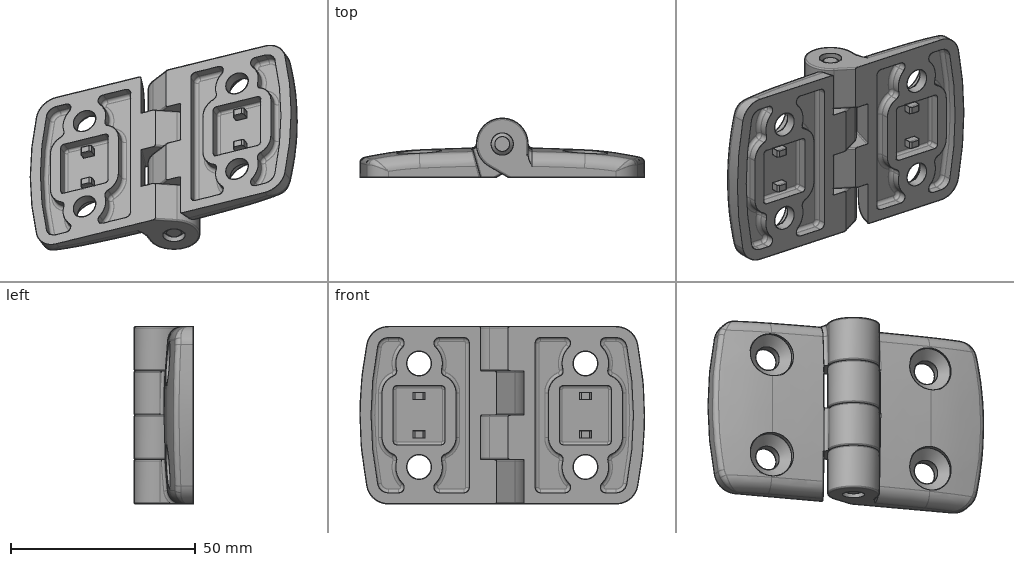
import cadquery as cq
import math


half_length = 38.5
half_height = 24.0

end_radius = 100.0
corner_radius = 6.0
plate_inner_x = 4.0

crown = 8.0
inner_bow_radius = 460.0
outer_bow_radius = 85.0
bow_change_x = 22.5
cross_bow_radius = 210.0
side_round = 4.0
end_round = 1.6
bow_overrun = 3.0

axis_y = 9.0
barrel_radius = 7.0
ramp_angle = math.radians(30)
knuckle_height = half_height / 2
edge_round = 0.4
root_fillet = 1.0
pin_radius = 3.0
pin_half_length = 23.2
pin_chamfer = 1.0

slot_foot_x = 5.85
slot_top_x = 8.1
slot_floor_round = 0.3

screw_x = 22.5
screw_z = 14.0
screw_radius = 3.3
head_radius = 6.0
head_seat_y = 3.0
head_rim_y = head_seat_y + head_radius - screw_radius

rib = 3.0
recess_depth = 3.2
recess_corner = 1.5
recess_floor_round = 1.0
recess_inner_x = 8.9
boss_corner = 5.0
boss_radius = screw_radius + rib
pocket_width = 14.0
pocket_height = 16.0
pocket_corner = 1.0
pocket_floor_round = 0.7

stud_z = 5.2
stud_width = 3.2
stud_height = 2.0
stud_length = 2.5
stud_tip_width = 2.2
stud_tip_height = 1.8
stud_tip_length = 0.5


def facing_plane(y):
    """Sketch plane at depth y with local axes X and Z; negative extrusions run toward +Y."""
    return cq.Workplane("XZ", origin=(0, y, 0))


def level_plane(z):
    """Sketch plane at height z with local axes X and Y."""
    return cq.Workplane("XY", origin=(0, 0, z))


def cross_cylinder(x, z, radius, start_y, end_y):
    """Cylinder along Y."""
    return facing_plane(start_y).center(x, z).circle(radius).extrude(start_y - end_y)


def leaf_outline(inset, inner_x, depth, outer_corner):
    """Prism on the mounting face with the leaf outline, moved inward by inset."""
    half_z = half_height - inset
    arc_centre_x = end_radius - half_length
    corner_x = arc_centre_x - math.sqrt((end_radius - inset) ** 2 - half_z**2)
    return (
        facing_plane(0)
        .moveTo(-inner_x, -half_z)
        .lineTo(corner_x, -half_z)
        .threePointArc((inset - half_length, 0), (corner_x, half_z))
        .lineTo(-inner_x, half_z)
        .close()
        .extrude(-depth)
        .edges("|Y")
        .edges("<X")
        .fillet(outer_corner)
    )


def back_section(offset):
    """Open cross-section of the leaf back at X = 0, grown outward by offset."""
    dome_y = crown - cross_bow_radius
    round_centre_z = half_height - side_round
    round_centre_y = dome_y + math.sqrt((cross_bow_radius - side_round) ** 2 - round_centre_z**2)
    reach = (cross_bow_radius + offset) / (cross_bow_radius - side_round)
    tangent_z = round_centre_z * reach
    tangent_y = dome_y + (round_centre_y - dome_y) * reach
    side_z = half_height + offset
    round_radius = side_round + offset
    return (
        cq.Workplane("YZ")
        .moveTo(-crown, -side_z)
        .lineTo(round_centre_y, -side_z)
        .radiusArc((tangent_y, -tangent_z), -round_radius)
        .threePointArc((crown + offset, 0), (tangent_y, tangent_z))
        .radiusArc((round_centre_y, side_z), -round_radius)
        .lineTo(-crown, side_z)
    )


def bowed_block():
    """Block with the doubly bowed back and rounded long sides, reaching past the mounting face."""
    swing = math.asin(bow_change_x / inner_bow_radius)
    change_y = crown - inner_bow_radius * (1 - math.cos(swing))
    outer_centre_x = outer_bow_radius * math.sin(swing) - bow_change_x
    outer_centre_y = change_y - outer_bow_radius * math.cos(swing)
    end_x = -half_length - bow_overrun
    end_y = outer_centre_y + math.sqrt(outer_bow_radius**2 - (end_x - outer_centre_x) ** 2)
    bow = (
        cq.Workplane("XY")
        .moveTo(0, crown)
        .radiusArc((-bow_change_x, change_y), -inner_bow_radius)
        .radiusArc((end_x, end_y), -outer_bow_radius)
    )
    return back_section(0).close().sweep(bow)


def plate():
    """Leaf plate with bowed back and rounded outer edge."""
    outline = leaf_outline(0, plate_inner_x, 2 * crown, corner_radius)
    return outline.intersect(bowed_block()).faces("<X").edges(">Y").fillet(end_round)


def slot(bottom_z):
    """Clearance for one knuckle of the other leaf, with a leaning end wall."""
    return (
        level_plane(bottom_z)
        .moveTo(-slot_foot_x, 0)
        .lineTo(-slot_top_x, crown)
        .lineTo(-slot_top_x, axis_y)
        .lineTo(0, axis_y)
        .lineTo(0, 0)
        .close()
        .extrude(knuckle_height)
    )


def slotted_plate():
    """Plate with both slots cut, their outer end edge and floor corners rounded."""
    body = plate()
    for z in (-knuckle_height, knuckle_height):
        body = body.cut(slot(z))
    end_edge = cq.selectors.BoxSelector(
        (-slot_top_x, 0.1, half_height - side_round / 2),
        (-slot_foot_x, crown, half_height + 1),
    )
    floor_corners = cq.selectors.BoxSelector(
        (-slot_top_x, 1, -knuckle_height - 1),
        (-slot_foot_x, crown - 1, knuckle_height + 1),
    )
    return body.edges(end_edge).fillet(edge_round).edges(floor_corners).fillet(slot_floor_round)


def knuckle(bottom_z):
    """Barrel section with its sloping ramp down to the mounting face and rounded end edges."""
    tangent_x = barrel_radius * math.sin(ramp_angle)
    tangent_y = axis_y - barrel_radius * math.cos(ramp_angle)
    ramp_foot_x = tangent_x - tangent_y / math.tan(ramp_angle)
    above_foot = cq.selectors.BoxSelector(
        (-2 * barrel_radius, tangent_y / 4, -2 * half_height),
        (2 * barrel_radius, axis_y + 2 * barrel_radius, 2 * half_height),
    )
    return (
        level_plane(bottom_z)
        .moveTo(-barrel_radius, 0)
        .lineTo(ramp_foot_x, 0)
        .lineTo(tangent_x, tangent_y)
        .threePointArc((0, axis_y + barrel_radius), (-barrel_radius, axis_y))
        .close()
        .extrude(knuckle_height)
        .faces("|Z")
        .edges(above_foot)
        .fillet(edge_round)
    )


def root_cove(bottom_z):
    """Hollow quarter-round that blends the leaf back into one of its own knuckles."""
    cove_x = -barrel_radius - root_fillet
    slab_length = root_fillet + edge_round
    slab = back_section(root_fillet).close().extrude(slab_length)
    hollow = (
        facing_plane(-crown)
        .center(0, -half_height - root_fillet)
        .circle(root_fillet)
        .sweep(back_section(root_fillet))
    )
    span = (
        level_plane(bottom_z)
        .center(slab_length / 2, axis_y / 2)
        .rect(2 * slab_length, axis_y)
        .extrude(knuckle_height)
    )
    return slab.cut(hollow).intersect(span).translate((cove_x, 0, 0))


def boss_neck(side):
    """Web from a screw boss to the rim; side is 1 at the top and -1 at the bottom.

    Its hollow flanks are the rounded ends of the recesses, tangent to boss and rim.
    """
    flank_z = half_height - rib - recess_corner
    flank_distance = boss_radius + recess_corner
    flank_x = math.sqrt(flank_distance**2 - (flank_z - screw_z) ** 2)
    start_z = screw_z + (flank_z - screw_z) * boss_radius / flank_distance
    neck = (
        facing_plane(0)
        .center(-screw_x, side * (start_z + half_height) / 2)
        .rect(2 * flank_x, half_height - start_z)
        .extrude(-recess_depth)
    )
    for x in (-screw_x - flank_x, -screw_x + flank_x):
        neck = neck.cut(cross_cylinder(x, side * flank_z, recess_corner, 0, recess_depth))
    return neck


def boss():
    """Material left standing round the square pocket and the two screw holes."""
    body = (
        facing_plane(0)
        .center(-screw_x, 0)
        .rect(pocket_width + 2 * rib, pocket_height + 2 * rib)
        .extrude(-recess_depth)
        .edges("|Y")
        .fillet(boss_corner)
    )
    for side in (-1, 1):
        body = body.union(cross_cylinder(-screw_x, side * screw_z, boss_radius, 0, recess_depth))
        waist_z = sorted((side * pocket_height / 2, side * screw_z))
        waist = cq.selectors.BoxSelector(
            (-half_length, 0, waist_z[0]), (0, recess_depth, waist_z[1])
        )
        body = body.edges("|Y").edges(waist).fillet(recess_corner)
    for side in (-1, 1):
        body = body.union(boss_neck(side))
    return body


def recesses():
    """The two weight-saving recesses either side of the boss, with rounded floors."""
    return (
        leaf_outline(rib, recess_inner_x, recess_depth, corner_radius - rib)
        .edges("|Y")
        .edges(">X")
        .fillet(recess_corner)
        .cut(boss())
        .faces(">Y")
        .edges()
        .fillet(recess_floor_round)
    )


def pocket():
    """Square pocket between the screw holes."""
    return (
        facing_plane(0)
        .center(-screw_x, 0)
        .rect(pocket_width, pocket_height)
        .extrude(-recess_depth)
        .edges("|Y")
        .fillet(pocket_corner)
        .faces(">Y")
        .edges()
        .fillet(pocket_floor_round)
    )


def screw_hole(z):
    """Countersunk through hole, its head sunk below the bowed back."""
    return (
        cq.Workplane("XY")
        .lineTo(screw_radius, 0)
        .lineTo(screw_radius, head_seat_y)
        .lineTo(head_radius, head_rim_y)
        .lineTo(head_radius, crown)
        .lineTo(0, crown)
        .close()
        .revolve(360, (0, 0), (0, 1))
        .translate((-screw_x, 0, z))
    )


def make_leaf():
    """Complete leaf on the -X side."""
    body = slotted_plate()
    for bottom_z in (-half_height, 0):
        body = body.union(root_cove(bottom_z)).union(knuckle(bottom_z))
    bore = level_plane(0).center(0, axis_y).circle(pin_radius).extrude(half_height, both=True)
    body = body.cut(bore).cut(recesses()).cut(pocket())
    for z in (-screw_z, screw_z):
        body = body.cut(screw_hole(z))
    return body


def make_stud(z):
    """Rectangular stud with a tapered tip, standing on the pocket floor."""
    return (
        facing_plane(recess_depth)
        .center(-screw_x, z)
        .rect(stud_width, stud_height)
        .extrude(stud_length - stud_tip_length)
        .faces("<Y")
        .workplane()
        .rect(stud_width, stud_height)
        .workplane(offset=stud_tip_length)
        .rect(stud_tip_width, stud_tip_height)
        .loft()
    )


def make_pin():
    """Hinge pin with chamfered ends, set back slightly inside the outer knuckles."""
    return (
        level_plane(0)
        .center(0, axis_y)
        .circle(pin_radius)
        .extrude(pin_half_length, both=True)
        .faces("|Z")
        .edges()
        .chamfer(pin_chamfer)
    )


def turned(body, angle):
    """Body turned about the Y axis."""
    return body.rotate((0, 0, 0), (0, 1, 0), angle)


leaf = make_leaf()
pin = make_pin()
leaves = [turned(leaf, angle) for angle in (0, 180)]
studs = [turned(make_stud(z), angle) for angle in (0, 180) for z in (-stud_z, stud_z)]

result = cq.Compound.makeCompound(
    [pin.val()] + [body.val() for body in leaves] + [body.val() for body in studs]
)